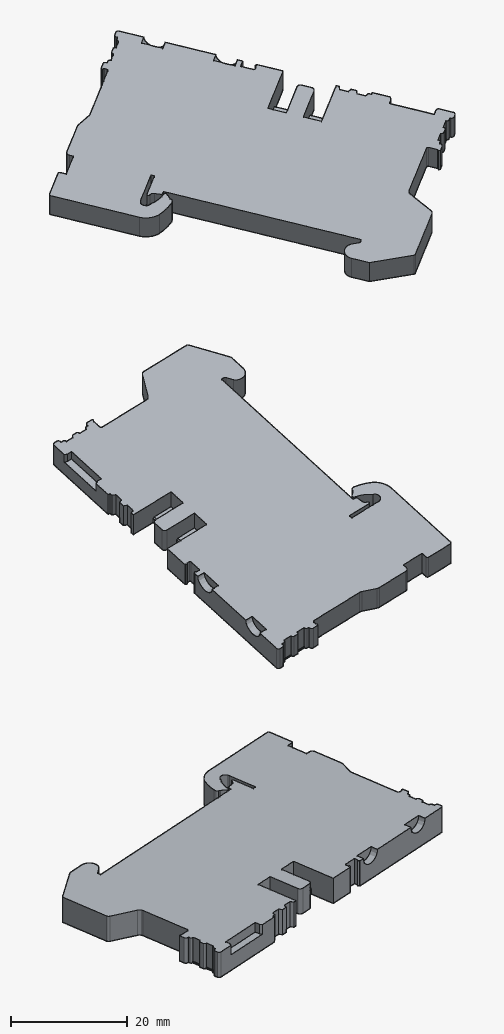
import cadquery as cq


length = 63.9
height = 38.5
thickness = 5.1
cut_margin = 0.65

wall_left = 1.3
tip_right = 61.0
wall_right = tip_right - 2.4
shoulder_y = 29.8
foot_slope_top_y = 19.2
foot_left_top_y = 16.3
foot_right_top_y = 16.3
rail_y = 6.7
corner_radius = 0.3
foot_slope_radius = 0.95
foot_right_radius = 0.65

notch_depth = 1.4
notch_bottom_y = 5.4
notch_top_y = 9.6
notch_top_radius = 0.65
latch_slot_left = 15.35
latch_slot_right = 16.0
latch_slot_round_y = 3.85
latch_slot_bottom = (16.15, 2.75)
latch_bend_start = (16.3, 0)
latch_bend_middle = (18.0, 0.45)
latch_bend_end = (19.35, 1.6)
latch_arm_middle = (20.05, 3.0)
latch_arm_end = (20.6, 4.65)
barb_round_middle = (20.6, 5.1)
barb_round_end = (20.4, 5.4)
barb_notch = (20.05, 5.5)
tip_outer = (19.25, 6.3)
tip_top = (19.0, 6.45)
tip_inner = (18.7, 6.2)
latch_inner_middle = (18.2, 4.8)
latch_inner_end = (17.2, 3.4)

beak_round_y = 5.3
beak_bottom = (16.2, 5.05)
beak_round_end = (16.5, 5.3)
beak_fillet_middle = (16.7, 5.6)
beak_fillet_end = (17.1, 5.8)
beak_corner = (18.4, 6.0)
beak_right = 18.5

hook_inner_x = 54.05
hook_throat = (hook_inner_x, 6.0)
hook_nose_start = (52.65, 5.2)
hook_nose_tip = (52.0, 3.9)
hook_nose_end_x = 53.75
hook_bottom_y = 2.25
hook_slope_start_x = 56.95
hook_slope_end_y = 6.2

bump_height = 1.4
bump_recess = 0.65
bump_round = 0.45
groove_recess = 1.1
groove_outer_offset = 2.25
groove_inner_offset = 0.7
groove_mouth_radius = 0.3
groove_lip = 0.1
groove_lip_height = 0.25
nib_width = 0.5
nib_drop = 0.2

channel_left = 30.0
channel_right = 39.6
tab_left = 33.3
tab_right = 36.35
tab_top_y = 36.5
tab_radius = 0.65
channel_ledge_y = 33.75
channel_ledge_height = 1.3
ledge_chamfer = 0.25
clip_left = 22.7
clip_right = 25.25
clip_floor_y = 37.3
clip_bead_radius = 0.2
clip_bead_drop = 0.3
step_right = 45.95
step_y = 38.15
step_notch_lefts = (40.2, 43.3)
step_notch_top_width = 2.1
step_notch_floor_width = 1.55
step_notch_floor_y = 37.5

pocket_floor_y = 37.1
screw_pocket_radius = 1.9
screw_pocket_centers = (6.85, 19.8)
marker_left = 49.5
marker_right = 57.6
marker_flare = 0.25
marker_flare_height = 0.5
marker_depth = 1.9


def extrude_polygon(points):
    return cq.Workplane("XY").polyline(points).close().extrude(thickness)


def box(x0, x1, y0, y1, z0=0.0, z1=thickness):
    return cq.Workplane("XY").box(x1 - x0, y1 - y0, z1 - z0, centered=False).translate((x0, y0, z0))


def round_corners(body, corners, radius):
    """Fillet the vertical edge nearest to each (x, y) corner."""
    for x, y in corners:
        nearest = cq.selectors.NearestToPointSelector((x, y, thickness / 2))
        body = body.edges("|Z").edges(nearest).fillet(radius)
    return body


def make_plate():
    """Plate between the serrated ends, with the foot widened on both sides."""
    plate = extrude_polygon([
        (wall_left, height),
        (wall_left, foot_slope_top_y),
        (0, foot_left_top_y),
        (0, rail_y),
        (length, rail_y),
        (length, foot_right_top_y),
        (wall_right, foot_slope_top_y),
        (wall_right, height),
    ])
    slope_ends = [
        (wall_left, foot_slope_top_y),
        (wall_right, foot_slope_top_y),
        (0, foot_left_top_y),
    ]
    plate = round_corners(plate, slope_ends, foot_slope_radius)
    return round_corners(plate, [(length, foot_right_top_y)], foot_right_radius)


def make_latch():
    """Spring foot that curls up to a barbed tip below the rail face."""
    top_y = rail_y + cut_margin
    outline = (
        cq.Workplane("XY")
        .moveTo(0, top_y)
        .lineTo(0, 0)
        .lineTo(*latch_bend_start)
        .threePointArc(latch_bend_middle, latch_bend_end)
        .threePointArc(latch_arm_middle, latch_arm_end)
        .threePointArc(barb_round_middle, barb_round_end)
        .lineTo(*barb_notch)
        .lineTo(*tip_outer)
        .threePointArc(tip_top, tip_inner)
        .threePointArc(latch_inner_middle, latch_inner_end)
        .threePointArc(latch_slot_bottom, (latch_slot_left, latch_slot_round_y))
        .lineTo(latch_slot_left, top_y)
        .close()
    )
    return round_corners(outline.extrude(thickness), [(0, 0)], corner_radius)


def make_latch_stop():
    """Beak under the plate, facing the inside of the latch."""
    top_y = rail_y + cut_margin
    return (
        cq.Workplane("XY")
        .moveTo(latch_slot_right, top_y)
        .lineTo(latch_slot_right, beak_round_y)
        .threePointArc(beak_bottom, beak_round_end)
        .threePointArc(beak_fillet_middle, beak_fillet_end)
        .lineTo(*beak_corner)
        .lineTo(beak_right, rail_y)
        .lineTo(beak_right, top_y)
        .close()
        .extrude(thickness)
    )


def make_hook():
    """Fixed rail hook with a rounded nose."""
    top_y = rail_y + cut_margin
    hook = (
        cq.Workplane("XY")
        .moveTo(hook_inner_x, top_y)
        .lineTo(*hook_throat)
        .lineTo(*hook_nose_start)
        .threePointArc(hook_nose_tip, (hook_nose_end_x, hook_bottom_y))
        .lineTo(hook_slope_start_x, hook_bottom_y)
        .lineTo(length, hook_slope_end_y)
        .lineTo(length, top_y)
        .close()
        .extrude(thickness)
    )
    return round_corners(hook, [hook_throat, (length, hook_slope_end_y)], corner_radius)


def make_serration():
    """Serrated left end of the head."""
    center_y = (shoulder_y - nib_drop / 2 + height) / 2
    root = wall_left + cut_margin
    end = box(bump_recess, root, shoulder_y, height)
    for low, high in ((shoulder_y, shoulder_y + bump_height), (height - bump_height, height)):
        bump = box(0, root, low, high)
        end = end.union(round_corners(bump, [(0, low), (0, high)], bump_round))
    nib = extrude_polygon([
        (0, shoulder_y + bump_height / 2),
        (0, shoulder_y - nib_drop / 2),
        (nib_width / 2, shoulder_y - nib_drop),
        (nib_width, shoulder_y),
    ])
    end = end.union(nib)
    for side in (-1, 1):
        low, high = sorted(center_y + side * y for y in (groove_inner_offset, groove_outer_offset))
        end = end.cut(box(0, groove_recess, low, high))
        end = round_corners(end, [(bump_recess, low), (bump_recess, high)], groove_mouth_radius)
        end = end.union(box(groove_recess - groove_lip, root, low, high, 0, groove_lip_height))
    return end


def cut_channel(body):
    """Central opening with a free-standing tab and a low ledge on both sides of it."""
    body = body.cut(box(channel_left, channel_right, shoulder_y, height + cut_margin))
    tab = box(tab_left, tab_right, shoulder_y - cut_margin, tab_top_y)
    tab = round_corners(tab, [(tab_left, tab_top_y), (tab_right, tab_top_y)], tab_radius)
    ledge = box(channel_left, channel_right, shoulder_y, channel_ledge_y, 0, channel_ledge_height)
    ledge = ledge.edges(">Y and >Z").chamfer(ledge_chamfer)
    return body.union(ledge).union(tab)


def cut_clip_notch(body):
    """Shallow notch whose mouth is narrowed by a bead on each side."""
    notch = box(clip_left, clip_right, clip_floor_y, height + cut_margin)
    notch = round_corners(notch, [(clip_right, clip_floor_y)], clip_bead_radius)
    body = body.cut(notch)
    bead_y = height - clip_bead_drop
    beads = (
        cq.Workplane("XY")
        .pushPoints([(clip_left, bead_y), (clip_right, bead_y)])
        .circle(clip_bead_radius)
        .extrude(thickness)
    )
    return body.union(beads)


def cut_stepped_edge(body):
    """Lowered edge with two tapered notches."""
    body = body.cut(box(channel_right, step_right, step_y, height + cut_margin))
    taper = (step_notch_top_width - step_notch_floor_width) / 2
    for left in step_notch_lefts:
        right = left + step_notch_top_width
        body = body.cut(extrude_polygon([
            (left, step_y),
            (left + taper, step_notch_floor_y),
            (right - taper, step_notch_floor_y),
            (right, step_y),
        ]))
    return body


def cut_screw_pockets(body):
    """Half-round troughs along Y, open to the top edge."""
    for x in screw_pocket_centers:
        trough = (
            cq.Workplane("XZ", origin=(x, pocket_floor_y, thickness))
            .circle(screw_pocket_radius)
            .extrude(-(height + cut_margin - pocket_floor_y))
        )
        body = body.cut(trough)
    return body


def cut_marker_pocket(body):
    """Flat pocket that flares out at the top edge."""
    flare_y = height - marker_flare_height
    outline = [
        (marker_left, pocket_floor_y),
        (marker_right, pocket_floor_y),
        (marker_right, flare_y),
        (marker_right + marker_flare, height),
        (marker_left - marker_flare, height),
        (marker_left, flare_y),
    ]
    pocket = extrude_polygon(outline).translate((0, 0, thickness - marker_depth))
    return body.cut(pocket)


def cut_foot_notches(body):
    """Square notch in the left side of the foot and the slot that frees the latch."""
    body = body.cut(box(0, notch_depth, notch_bottom_y, notch_top_y))
    body = round_corners(body, [(0, notch_bottom_y)], corner_radius)
    body = round_corners(body, [(0, notch_top_y)], notch_top_radius)
    return body.cut(box(latch_slot_left, latch_slot_right, rail_y, notch_top_y))


serration = make_serration()
mirrored_serration = serration.mirror("YZ").translate((tip_right, 0, 0))
head = box(wall_right - cut_margin, tip_right - wall_left, shoulder_y, height)

result = make_plate().union(serration).union(mirrored_serration).union(head)
result = result.union(make_latch()).union(make_latch_stop()).union(make_hook())
result = round_corners(result, [(wall_left, shoulder_y), (wall_right, shoulder_y)], corner_radius)
result = cut_foot_notches(result)
result = cut_channel(result)
result = cut_clip_notch(result)
result = cut_stepped_edge(result)
result = cut_screw_pockets(result)
result = cut_marker_pocket(result)